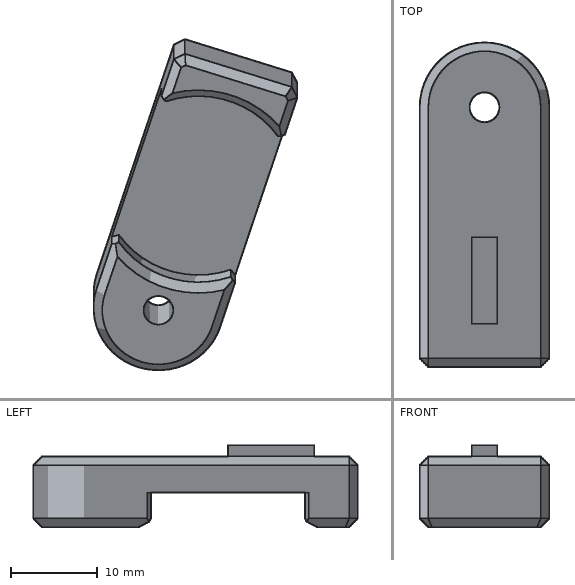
import cadquery as cq
import math

length = 37.5
width = 15.0
total_height = 9.5
rib_height = 1.3
body_height = total_height - rib_height
chamfer = 1.0
half_width = width / 2
round_center_y = length - half_width

gap_height = 4.0
gap_center_y = 15.0
recess_radius = 11.18
tip_bevel_width = 0.7
tip_bevel_length = 0.45

rib_width = 2.95
rib_length = 9.98
rib_front_y = 5.02
hole_diameter = 3.4


def make_body():
    outline = (
        cq.Workplane("XY")
        .moveTo(half_width, round_center_y)
        .threePointArc((0, length), (-half_width, round_center_y))
        .lineTo(-half_width, 0)
        .lineTo(half_width, 0)
        .close()
    )
    body = outline.extrude(body_height)
    front_corners = body.edges("|Z").edges("<Y")
    body = front_corners.add(body.faces(">Z").edges()).chamfer(chamfer)
    return body.faces("<Z").chamfer(chamfer)


def make_gap():
    """Round recess with a flared rim, widened at its four ends to bevel the foot tips."""
    recess = (
        cq.Workplane("XY")
        .center(0, gap_center_y)
        .circle(recess_radius)
        .extrude(gap_height)
    )
    flare = (
        cq.Workplane("XY")
        .center(0, gap_center_y)
        .circle(recess_radius + chamfer)
        .workplane(offset=chamfer)
        .circle(recess_radius)
        .loft()
    )
    tip_x = half_width - tip_bevel_width
    tip_y = math.sqrt(recess_radius**2 - tip_x**2)
    side_y = tip_y + tip_bevel_length
    bevels = (
        cq.Workplane("XY")
        .center(0, gap_center_y)
        .polyline([
            (half_width, -side_y),
            (half_width, side_y),
            (tip_x, tip_y),
            (-tip_x, tip_y),
            (-half_width, side_y),
            (-half_width, -side_y),
            (-tip_x, -tip_y),
            (tip_x, -tip_y),
        ])
        .close()
        .extrude(gap_height)
    )
    return recess.union(flare).union(bevels)


def make_rib():
    return (
        cq.Workplane("XY")
        .box(rib_width, rib_length, rib_height, centered=(True, False, False))
        .translate((0, rib_front_y, body_height))
    )


def make_hole():
    return (
        cq.Workplane("XY")
        .center(0, round_center_y)
        .circle(hole_diameter / 2)
        .extrude(body_height)
    )


result = make_body().cut(make_gap()).cut(make_hole()).union(make_rib())